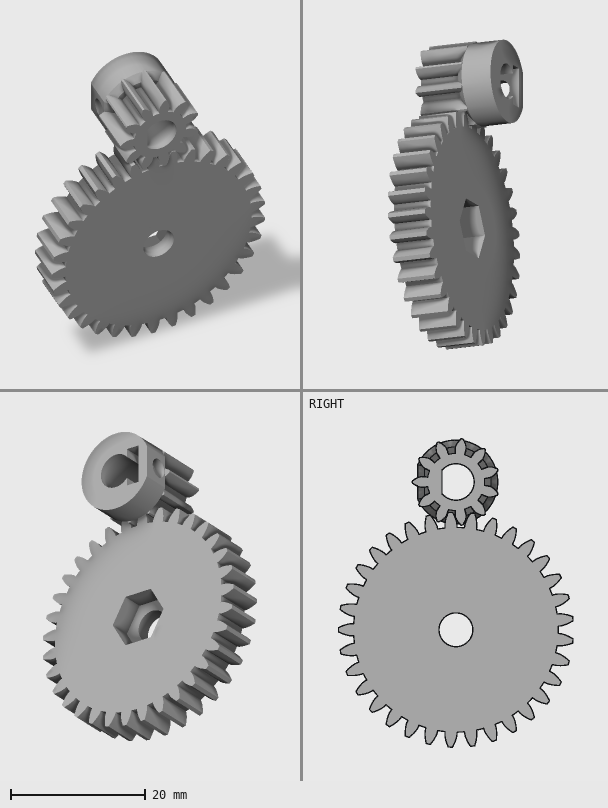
import cadquery as cq
import math

module = 1.0
dedendum = 1.25 * module
gear_teeth = 33
gear_pressure_angle = math.radians(20)
pinion_teeth = 11
pinion_pressure_angle = math.radians(25)
tooth_direction = math.pi
flank_samples = 6
backlash = 0.1

gear_thickness = 6.0
gear_bore_diameter = 5.0
hex_across_flats = 8.05
hex_depth = 3.6

pinion_bore_diameter = 5.4
bore_flat_distance = 2.05
tooth_overhang = 0.5
runout_length = 1.03
hub_length = 4.7
hub_diameter = 12.5
hub_flat_distance = 5.7
nut_slot_thickness = 2.1
nut_slot_width = 6.05
nut_slot_depth = 5.5
screw_diameter = 3.0
screw_setback = 3.0

centre_distance = module * (gear_teeth + pinion_teeth) / 2
pinion_x_start = -runout_length
pinion_x_end = gear_thickness + tooth_overhang
hub_x_start = pinion_x_start - hub_length


def polar(radius, angle):
    return (radius * math.cos(angle), radius * math.sin(angle))


def involute_function(angle):
    return math.tan(angle) - angle


def spur_outline(teeth, pressure_angle):
    """Closed YZ outline of an involute spur gear centred on the X axis."""
    pitch_radius = module * teeth / 2
    base_radius = pitch_radius * math.cos(pressure_angle)
    root_radius = pitch_radius - dedendum
    tip_radius = pitch_radius + module
    pitch_angle = 2 * math.pi / teeth
    half_at_pitch = (math.pi * module / 2 - backlash) / (2 * pitch_radius)
    half_at_base = half_at_pitch + involute_function(pressure_angle)

    def half_angle(radius):
        """Half the angle that a tooth fills; the flank is radial inside the base circle."""
        local_pressure_angle = math.acos(min(1.0, base_radius / radius))
        return half_at_base - involute_function(local_pressure_angle)

    foot = half_angle(root_radius)
    tip = half_angle(tip_radius)
    step = (tip_radius - base_radius) / (flank_samples - 1)
    flank_radii = [root_radius] + [base_radius + i * step for i in range(flank_samples)]

    outline = cq.Workplane("YZ").moveTo(*polar(root_radius, tooth_direction - foot))
    for i in range(teeth):
        middle = tooth_direction + i * pitch_angle
        gap_middle = middle + pitch_angle / 2
        next_foot = middle + pitch_angle - foot
        rising = [polar(r, middle - half_angle(r)) for r in flank_radii]
        falling = [polar(r, middle + half_angle(r)) for r in reversed(flank_radii)]
        outline = outline.spline(rising[1:], includeCurrent=True)
        outline = outline.threePointArc(polar(tip_radius, middle), polar(tip_radius, middle + tip))
        outline = outline.spline(falling[1:], includeCurrent=True)
        outline = outline.threePointArc(polar(root_radius, gap_middle), polar(root_radius, next_foot))
    return outline.close()


def x_cylinder(diameter, x_start, x_end):
    plane = cq.Workplane("YZ", origin=(x_start, 0, 0))
    return plane.circle(diameter / 2).extrude(x_end - x_start)


def box_between(x_range, y_range, z_range):
    size = [high - low for low, high in (x_range, y_range, z_range)]
    corner = (x_range[0], y_range[0], z_range[0])
    return cq.Workplane("XY").box(*size, centered=False).translate(corner)


def make_large_gear():
    gear = spur_outline(gear_teeth, gear_pressure_angle).extrude(gear_thickness)
    hex_across_corners = hex_across_flats / math.cos(math.pi / 6)
    hex_pocket = cq.Workplane("YZ").polygon(6, hex_across_corners).extrude(hex_depth)
    bore = x_cylinder(gear_bore_diameter, 0, gear_thickness)
    return gear.cut(hex_pocket).cut(bore)


def make_pinion_blank():
    """Toothed length and the flatted hub, whose chamfered end runs into the tooth gaps."""
    outline = spur_outline(pinion_teeth, pinion_pressure_angle)
    teeth = outline.extrude(pinion_x_end - pinion_x_start)
    teeth = teeth.translate((pinion_x_start, 0, 0))

    hub = x_cylinder(hub_diameter, hub_x_start, 0).faces(">X").chamfer(runout_length)
    beyond_flat = cq.Workplane("XY").polyline([
        (hub_x_start, -hub_flat_distance),
        (pinion_x_start, -hub_flat_distance),
        (0, -hub_flat_distance + runout_length),
        (0, -hub_diameter),
        (hub_x_start, -hub_diameter),
    ]).close().extrude(hub_diameter, both=True)
    return teeth.union(hub.cut(beyond_flat))


def make_pinion():
    bore = x_cylinder(pinion_bore_diameter, hub_x_start, pinion_x_end)
    bore = bore.intersect(box_between(
        (hub_x_start, pinion_x_end),
        (-bore_flat_distance, pinion_bore_diameter),
        (-pinion_bore_diameter, pinion_bore_diameter),
    ))
    nut_slot = box_between(
        (hub_x_start, hub_x_start + nut_slot_depth),
        (-bore_flat_distance - nut_slot_thickness, -bore_flat_distance),
        (-nut_slot_width / 2, nut_slot_width / 2),
    )
    screw_hole = cq.Workplane("XZ").center(hub_x_start + screw_setback, 0)
    screw_hole = screw_hole.circle(screw_diameter / 2).extrude(hub_diameter / 2)
    pinion = make_pinion_blank().cut(bore).cut(nut_slot).cut(screw_hole)
    return pinion.translate((0, 0, centre_distance))


large_gear = make_large_gear()
pinion = make_pinion()
result = cq.Compound.makeCompound([large_gear.val(), pinion.val()])